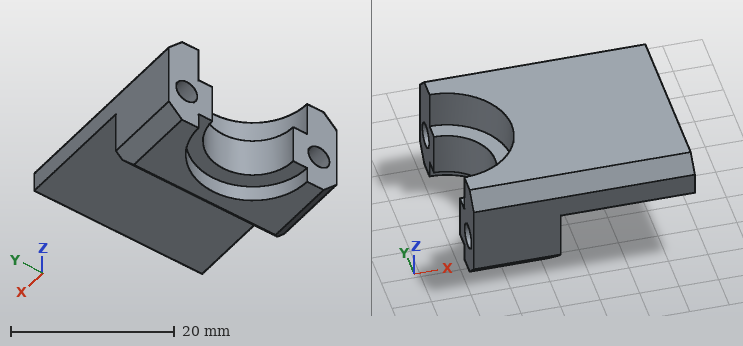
import cadquery as cq

length = 28.0
width = 25.4
height = 13.0

plate_thickness = 4.87
block_length = 11.0
edge_chamfer = 2.0
block_end_chamfer = 1.0

bore_radius = 6.1
counterbore_radius = 8.2
top_counterbore_depth = 5.0
bottom_counterbore_depth = 2.3

bolt_hole_diameter = 3.2
bolt_hole_spacing = 20.0
bolt_hole_height = 5.1


def make_body():
    """L-shaped side profile with all four long outer edges chamfered."""
    plate_bottom = height - plate_thickness
    side_profile = (
        cq.Workplane("XZ")
        .polyline([
            (0, 0),
            (block_length - block_end_chamfer, 0),
            (block_length, block_end_chamfer),
            (block_length, plate_bottom),
            (length, plate_bottom),
            (length, height),
            (0, height),
        ])
        .close()
        .extrude(width / 2, both=True)
    )
    octagonal_bar = (
        cq.Workplane("XY")
        .box(length, width, height, centered=(False, True, False))
        .edges("|X")
        .chamfer(edge_chamfer)
    )
    return side_profile.intersect(octagonal_bar)


def vertical_cylinder(radius, bottom, depth):
    return cq.Workplane("XY").workplane(offset=bottom).circle(radius).extrude(depth)


def make_stepped_bore():
    """Through bore with a wider recess at each end."""
    top_recess_floor = height - top_counterbore_depth
    return (
        vertical_cylinder(bore_radius, 0, height)
        .union(vertical_cylinder(counterbore_radius, 0, bottom_counterbore_depth))
        .union(vertical_cylinder(counterbore_radius, top_recess_floor, top_counterbore_depth))
    )


def make_bolt_holes():
    return (
        cq.Workplane("YZ")
        .pushPoints([(side * bolt_hole_spacing / 2, bolt_hole_height) for side in (-1, 1)])
        .circle(bolt_hole_diameter / 2)
        .extrude(block_length)
    )


result = make_body().cut(make_stepped_bore()).cut(make_bolt_holes())